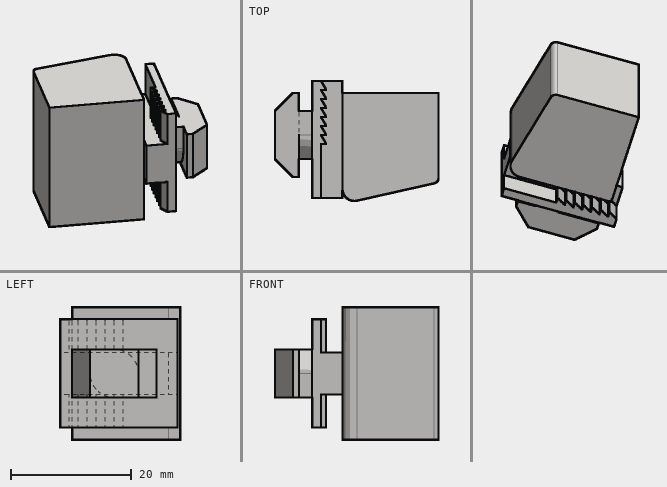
import cadquery as cq
import math


total_length = 27.2
body_length = 16.0
body_height = 22.0
body_depth_at_plate = 18.47
body_depth_at_end = 14.88
large_corner_radius = 2.0
small_corner_radius = 1.0

head_length = 4.0
head_width = 14.0
head_height = 8.0
head_chamfer = 3.0
stem_length = 2.2
stem_size = head_height

plate_thickness = 1.47
plate_width = 19.48
plate_height = 18.0
plate_overhang = 1.99
neck_height = 7.02
tooth_count = 7
tooth_pitch = 1.5
tooth_angle = 30.0

body_start = total_length - body_length
plate_start = head_length + stem_length
plate_face = plate_start + plate_thickness
plate_back = plate_overhang
plate_front = plate_back - plate_width
head_center_y = -head_width / 2
tooth_height = tooth_pitch * math.tan(math.radians(tooth_angle))


def extrude_profile(points, height):
    """Extrude an XY outline symmetrically about mid-height."""
    return cq.Workplane("XY").polyline(points).close().extrude(height / 2, both=True)


def make_body():
    """Block with a slanted front face and two rounded front corners."""
    body = extrude_profile(
        [
            (body_start, 0),
            (total_length, 0),
            (total_length, -body_depth_at_end),
            (body_start, -body_depth_at_plate),
        ],
        body_height,
    )
    body = body.edges("|Z and <Y").fillet(large_corner_radius)
    corner = cq.selectors.NearestToPointSelector((total_length, -body_depth_at_end, 0))
    return body.edges("|Z").edges(corner).fillet(small_corner_radius)


def make_head():
    """Cross bar with its two outer edges chamfered."""
    head = cq.Workplane("XY").box(head_length, head_width, head_height)
    head = head.edges("|Z and <X").chamfer(head_chamfer)
    return head.translate((head_length / 2, head_center_y, 0))


def make_stem():
    """Twist-lock stem: square, with two opposite quadrants rounded."""
    half = stem_size / 2
    return (
        cq.Workplane("YZ", origin=(head_length, head_center_y, 0))
        .moveTo(half, 0)
        .lineTo(half, half)
        .lineTo(0, half)
        .radiusArc((-half, 0), -half)
        .lineTo(-half, -half)
        .lineTo(0, -half)
        .radiusArc((half, 0), -half)
        .close()
        .extrude(stem_length)
    )


def make_plate():
    """Plate with a row of saw teeth starting at its back edge."""
    points = [
        (plate_start, plate_front),
        (plate_start, plate_back),
    ]
    for tooth in range(tooth_count):
        flank_start = plate_back - tooth * tooth_pitch
        flank_end = flank_start - tooth_pitch
        points.append((plate_face, flank_start))
        points.append((plate_face + tooth_height, flank_end))
    teeth_end = plate_back - tooth_count * tooth_pitch
    points.append((plate_face, teeth_end))
    points.append((plate_face, plate_front))
    return extrude_profile(points, plate_height)


def make_neck():
    """Bar across the full plate width, from the plate to the body."""
    points = [
        (plate_start, plate_front),
        (plate_start, plate_back),
        (body_start, plate_back),
        (body_start, plate_front),
    ]
    return extrude_profile(points, neck_height)


result = (
    make_body()
    .union(make_neck())
    .union(make_plate())
    .union(make_stem())
    .union(make_head())
)